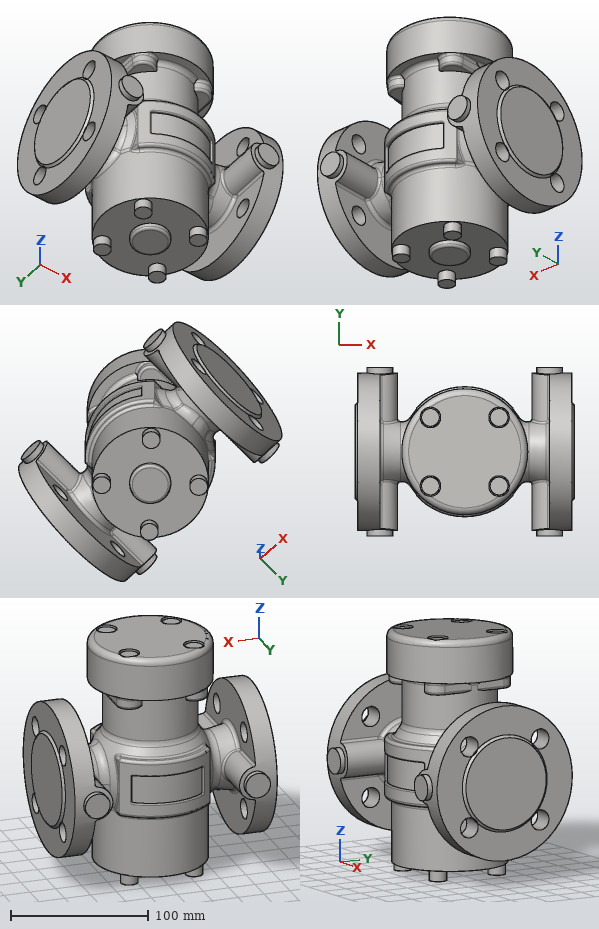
import cadquery as cq
import math


barrel_radius = 42.5
barrel_bottom_z = -70.0
belly_radius = 47.0
blend_radius = 7.0
neck_radius = 35.01
neck_fillet = 4.0

head_radius = 45.99
head_bottom_z = 70.0
head_top_z = 102.0
head_fillet = 5.0

bolt_offset = 25.0
bolt_head_diameter = 13.0
bolt_head_height = 8.0
bolt_recess = 1.0
counterbore_diameter = 15.0
counterbore_floor_z = head_top_z - bolt_recess - bolt_head_height

lug_radius = 9.9
lug_height = 9.2
lug_fillet = 2.0

pipe_start_x = 18
pipe_end_radius = 25.0
pipe_taper = 0.2
pipe_flange_fillet = 3.2

flange_radius = 57.51
flange_back_x = 62.0
flange_thickness = 16.2
flange_hole_diameter = 15.0
flange_hole_offset = 30.0
raised_face_radius = 36
raised_face_end_x = 80.01
raised_face_taper = 45
blank_size = 144

boss_radius = 13.0
boss_fillet = 2.0
pin_diameter = 19.0
pin_end_y = 61.47

pad_radius = 47.5
pad_width = 70.5
pad_height = 45
pad_side_fillet = 0.9
pad_fillet = 2.3
pocket_width = 54.4
pocket_height = 21.6
pocket_depth = 2.0
pocket_corner_radius = 1.0
pocket_fillet = 0.9

plug_diameter = 30.0
plug_height = 5.0
plug_fillet = 2.0

tolerance = 0.09


def disc(radius, bottom_z, height):
    return cq.Workplane("XY").workplane(offset=bottom_z).circle(radius).extrude(height)


def turned(body, angle):
    return body.rotate((0, 0, 0), (0, 0, 1), angle)


def at_bolts(bottom_z, diameter, height):
    """Four cylinders on the bolt pattern."""
    return (
        cq.Workplane("XY")
        .workplane(offset=bottom_z)
        .rect(2 * bolt_offset, 2 * bolt_offset, forConstruction=True)
        .vertices()
        .circle(diameter / 2)
        .extrude(height)
    )


def edge_points(edge):
    return [edge.positionAt(t) for t in (0, 0.3, 0.5, 0.8, 1)]


def on_cylinder(edge, radius):
    """Whether an edge lies on a cylinder around the barrel axis."""
    return all(abs(math.hypot(p.x, p.y) - radius) < tolerance / 5 for p in edge_points(edge))


def belly_blend(radius):
    """Blend between the spherical belly and a coaxial cylinder of the given radius.

    Gives the height at which the blend meets the cylinder, and the height and the
    radius at which it meets the belly.
    """
    centre_distance = belly_radius + blend_radius
    centre_r = radius + blend_radius
    centre_z = math.sqrt(centre_distance ** 2 - centre_r ** 2)
    scale = belly_radius / centre_distance
    return centre_z, centre_z * scale, centre_r * scale


def make_barrel():
    """Barrel, spherical belly and neck, flared where it meets the head."""
    low_z, belly_low_z, belly_low_r = belly_blend(barrel_radius)
    high_z, belly_high_z, belly_high_r = belly_blend(neck_radius)
    return (
        cq.Workplane("XZ")
        .moveTo(0, barrel_bottom_z)
        .lineTo(barrel_radius, barrel_bottom_z)
        .lineTo(barrel_radius, -low_z)
        .radiusArc((belly_low_r, -belly_low_z), blend_radius)
        .threePointArc((belly_radius, 0), (belly_high_r, belly_high_z))
        .radiusArc((neck_radius, high_z), blend_radius)
        .lineTo(neck_radius, head_bottom_z - neck_fillet)
        .radiusArc((neck_radius + neck_fillet, head_bottom_z), neck_fillet)
        .lineTo(0, head_bottom_z)
        .close()
        .revolve(360, (0, 0), (0, 1))
    )


def make_pipe():
    """Tapered pipe on the +X side, starting inside the barrel."""
    start_radius = pipe_end_radius - pipe_taper * (flange_back_x - pipe_start_x)
    return (
        cq.Workplane("XY")
        .moveTo(pipe_start_x, 0)
        .lineTo(pipe_start_x, start_radius)
        .lineTo(flange_back_x, pipe_end_radius)
        .lineTo(flange_back_x, 0)
        .close()
        .revolve(360, (0, 0), (1, 0))
    )


def is_pipe_joint(edge):
    """Whether an edge runs around a pipe where it leaves the barrel."""
    points = [edge.positionAt(t) for t in (0, 0.5, 1)]
    radii = [math.hypot(p.y, p.z) for p in points]
    box = edge.BoundingBox()
    beside_neck = max(abs(p.x) for p in points) > neck_radius
    around_pipe = min(radii) > pipe_start_x and max(radii) < pipe_end_radius - 1.8
    return beside_neck and around_pipe and box.xmax - box.xmin < pipe_start_x


def add_pipes(barrel):
    for angle in (0, 180):
        barrel = barrel.union(turned(make_pipe(), angle))
    joints = [e for e in barrel.edges().vals() if is_pipe_joint(e)]
    return barrel.newObject(joints).fillet(blend_radius)


def make_pad():
    """Nameplate pad on the -Y side, cut from a cylinder around the barrel axis."""
    block = cq.Workplane("XZ").rect(pad_width, pad_height).extrude(2 * pad_radius)
    pad = block.intersect(disc(pad_radius, -pad_height, 2 * pad_height))
    rim = [e for e in pad.edges().vals() if on_cylinder(e, pad_radius)]
    sides = [e for e in rim if abs(e.Center().z) < 1.8]
    pad = pad.newObject(sides).fillet(pad_side_fillet)
    rim = [e for e in pad.edges().vals() if on_cylinder(e, pad_radius)]
    ends = [e for e in rim if abs(e.Center().z) > 1.8]
    return pad.newObject(ends).fillet(pad_fillet)


def make_pocket():
    """Recess on the -Y side with a floor that follows the pad."""
    block = cq.Workplane("XZ").rect(pocket_width, pocket_height).extrude(2 * pad_radius)
    block = block.edges("|Y").fillet(pocket_corner_radius)
    return block.cut(disc(pad_radius - pocket_depth, -pad_height, 2 * pad_height))


def is_pad_foot(edge):
    """Whether an edge lies along the bottom of a pad."""
    centre = edge.Center()
    box = edge.BoundingBox()
    at_bottom = abs(centre.z + pad_height / 2) < tolerance
    return at_bottom and abs(centre.y) < belly_radius and box.xmax - box.xmin > pad_width / 2


def is_pocket_rim(edge):
    centre = edge.Center()
    inside = abs(centre.x) < pocket_width / 2 + 1.8 and abs(centre.z) < pocket_height / 2 + 1.8
    return inside and on_cylinder(edge, pad_radius)


def add_pads(barrel):
    for angle in (0, 180):
        barrel = barrel.union(turned(make_pad(), angle))
    foot = [e for e in barrel.edges().vals() if is_pad_foot(e)]
    barrel = barrel.newObject(foot).fillet(pad_fillet)
    for angle in (0, 180):
        barrel = barrel.cut(turned(make_pocket(), angle))
    rim = [e for e in barrel.edges().vals() if is_pocket_rim(e)]
    return barrel.newObject(rim).fillet(pocket_fillet)


def make_flange_with_boss():
    """Flange and end of the pipe on the +X side, with the boss across the flange's back.

    The flange starts as a square blank, so that the fillets run out past its rim.
    """
    blank = (
        cq.Workplane("YZ")
        .workplane(offset=flange_back_x)
        .rect(blank_size, blank_size)
        .extrude(flange_thickness)
    )
    port = make_pipe().union(blank)
    port = port.edges(cq.selectors.RadiusNthSelector(-1)).fillet(pipe_flange_fillet)
    boss = (
        cq.Workplane("XZ")
        .center(flange_back_x, 0)
        .circle(boss_radius)
        .extrude(blank_size / 2, both=True)
    )
    port = port.union(boss)
    around_boss = cq.selectors.BoxSelector(
        (flange_back_x - boss_radius - 1.8, -blank_size, -boss_radius - 2 * tolerance),
        (flange_back_x + 2 * tolerance, blank_size, boss_radius + 2 * tolerance),
        boundingbox=True,
    )
    port = port.edges(around_boss).edges("not %CIRCLE").fillet(boss_fillet)
    outline = cq.Workplane("YZ").circle(flange_radius).extrude(flange_back_x + flange_thickness)
    return port.intersect(outline)


def make_raised_face():
    flange_front_x = flange_back_x + flange_thickness
    return (
        cq.Workplane("YZ")
        .workplane(offset=flange_front_x)
        .circle(raised_face_radius)
        .extrude(raised_face_end_x - flange_front_x, taper=raised_face_taper)
    )


def make_flange_holes():
    return (
        cq.Workplane("YZ")
        .workplane(offset=flange_back_x)
        .rect(2 * flange_hole_offset, 2 * flange_hole_offset, forConstruction=True)
        .vertices()
        .circle(flange_hole_diameter / 2)
        .extrude(flange_thickness)
    )


def make_pin(side):
    """Pin on the boss end at the given Y side."""
    return (
        cq.Workplane("XZ", origin=(0, side * pin_end_y, 0))
        .center(flange_back_x, 0)
        .circle(pin_diameter / 2)
        .extrude(side * boss_radius)
    )


def make_port():
    """Everything at the +X end of the housing."""
    port = make_flange_with_boss().union(make_raised_face()).cut(make_flange_holes())
    for side in (-1, 1):
        port = port.union(make_pin(side))
    return port


def make_lug():
    """Rounded bar under the head, joining the two bolts on the +X side."""
    return (
        cq.Workplane("XY")
        .workplane(offset=head_bottom_z - lug_height)
        .center(bolt_offset, 0)
        .slot2D(2 * (bolt_offset + lug_radius), 2 * lug_radius, 90)
        .extrude(lug_height)
        .faces("<Z")
        .edges()
        .fillet(lug_fillet)
    )


def is_lug_root(edge):
    """Whether an edge lies where a lug meets the underside of the head."""
    centre = edge.Center()
    box = edge.BoundingBox()
    at_underside = abs(centre.z - head_bottom_z) < tolerance / 5
    return at_underside and max(abs(centre.x), abs(centre.y)) > 3.6 and box.xmax - box.xmin < head_radius


def make_head():
    head = disc(head_radius, head_bottom_z, head_top_z - head_bottom_z)
    head = head.faces(">Z").edges().fillet(head_fillet)
    for angle in (0, 180):
        head = head.union(turned(make_lug(), angle))
    roots = [e for e in head.edges().vals() if is_lug_root(e)]
    return head.newObject(roots).fillet(lug_fillet)


def make_plug():
    plug = disc(plug_diameter / 2, barrel_bottom_z - plug_height, plug_height)
    return plug.faces("<Z").edges().fillet(plug_fillet)


def make_housing():
    housing = add_pads(add_pipes(make_barrel()))
    port = make_port()
    for angle in (0, 180):
        housing = housing.union(turned(port, angle))
    housing = housing.union(make_head()).union(make_plug())
    lower_heads = at_bolts(barrel_bottom_z - bolt_head_height, bolt_head_diameter, bolt_head_height)
    counterbores = at_bolts(counterbore_floor_z, counterbore_diameter, head_top_z - counterbore_floor_z)
    return housing.union(lower_heads).cut(counterbores)


def make_bolts():
    """Four bolt heads standing on the counterbore floors."""
    return at_bolts(counterbore_floor_z, bolt_head_diameter, bolt_head_height)


housing = make_housing()
bolts = make_bolts()
result = cq.Compound.makeCompound([housing.val(), *bolts.vals()])